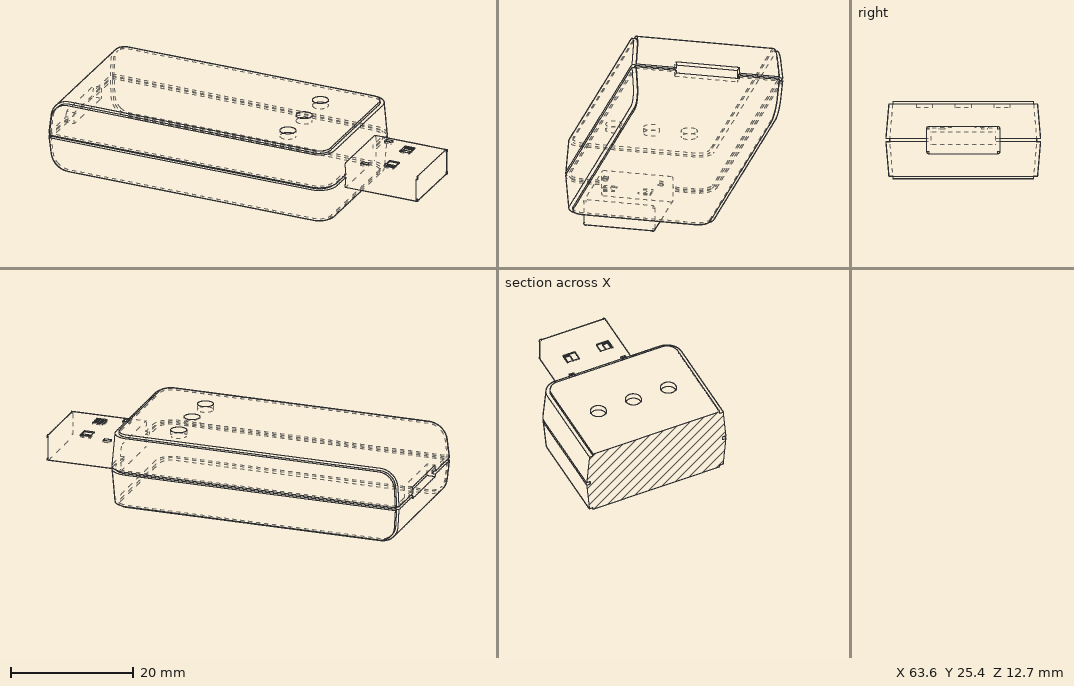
import cadquery as cq

BODY_LENGTH = 50.8
BODY_WIDTH = 25.4
BODY_HEIGHT = 12.7
DRAFT_ANGLE = 5.0
END_ROUND_RADIUS = 3.175
CORNER_RADIUS = 3.175

STEP_WIDTH = 0.65
STEP_DROP = 0.4

SEAM_GAP = 0.5

SLOT_WIDTH = 10.6
SLOT_HEIGHT = 2.0
SLOT_CENTER_Z = 0.3
SLOT_DEPTH = 1.5

INDICATOR_DIAMETER = 2.64
INDICATOR_X = 40.5
INDICATOR_PITCH = 6.35
INDICATOR_DEPTH = 1.0

PLUG_LENGTH = 12.8
PLUG_WIDTH = 12.0
PLUG_HEIGHT = 4.5
PLUG_EDGE_RADIUS = 0.4
PLUG_ROOT = 2.0

PLUG_END_RECESS = 0.15

WINDOW_X = 56.8
WINDOW_LENGTH = 1.75
WINDOW_INNER_Y = 1.95
WINDOW_STEP_Y = 2.97
WINDOW_OUTER_Y = 4.1
WINDOW_DEPTH = 0.2
WINDOW_DEEP_DEPTH = 0.4
WINDOW_LEDGE = 0.17

DIMPLE_X = 52.97
DIMPLE_LENGTH = 1.2
DIMPLE_INNER_Y = 4.28
DIMPLE_WIDTH = 0.8
DIMPLE_DEPTH = 0.3


def block(x_start, length, y_start, width, z_start, height):
    """Box given by its lowest corner and its size."""
    corner = (x_start, y_start, z_start)
    return cq.Workplane("XY").box(length, width, height, centered=False).translate(corner)


def outline(start_x, end_x, width, corner_radius):
    """Rectangle whose two corners at the plug end are round."""
    half_width = width / 2
    arc_start_x = end_x - corner_radius
    arc_start_y = half_width - corner_radius
    return (
        cq.Workplane("XY")
        .moveTo(start_x, -half_width)
        .lineTo(arc_start_x, -half_width)
        .radiusArc((end_x, -arc_start_y), -corner_radius)
        .lineTo(end_x, arc_start_y)
        .radiusArc((arc_start_x, half_width), -corner_radius)
        .lineTo(start_x, half_width)
        .close()
    )


def drafted_half(half_outline, height, end_round_radius):
    """Outline raised from the seam with draft, its far end rounded over."""
    half = half_outline.extrude(height, taper=DRAFT_ANGLE)
    return half.faces(">Z").edges("<X").fillet(end_round_radius)


def core_outline():
    """Outline of the raised core, set in from the sides and from the plug end."""
    return outline(0, BODY_LENGTH - STEP_WIDTH, BODY_WIDTH - 2 * STEP_WIDTH, CORNER_RADIUS - STEP_WIDTH)


def half_shell():
    """Upper half of the housing: a raised core between two lower side steps."""
    side_steps = drafted_half(
        outline(STEP_DROP, BODY_LENGTH, BODY_WIDTH, CORNER_RADIUS),
        BODY_HEIGHT / 2 - STEP_DROP,
        END_ROUND_RADIUS - STEP_DROP,
    )
    core = drafted_half(core_outline(), BODY_HEIGHT / 2, END_ROUND_RADIUS)
    gap = block(0, BODY_LENGTH, -BODY_WIDTH / 2, BODY_WIDTH, 0, SEAM_GAP / 2)
    return side_steps.union(core).cut(gap)


def seam_core():
    """Recessed band that joins the two halves and forms the groove floor."""
    band = core_outline().extrude(SEAM_GAP).translate((0, 0, -SEAM_GAP / 2))
    end_trim = block(0, STEP_WIDTH, -BODY_WIDTH / 2, BODY_WIDTH, -SEAM_GAP / 2, SEAM_GAP)
    return band.cut(end_trim)


def housing():
    upper = half_shell()
    return upper.union(upper.mirror("XY")).union(seam_core())


def end_slot():
    return block(0, SLOT_DEPTH, -SLOT_WIDTH / 2, SLOT_WIDTH, SLOT_CENTER_Z - SLOT_HEIGHT / 2, SLOT_HEIGHT)


def indicator_holes():
    positions = [(INDICATOR_X, row * INDICATOR_PITCH) for row in (-1, 0, 1)]
    return (
        cq.Workplane("XY", origin=(0, 0, BODY_HEIGHT / 2))
        .pushPoints(positions)
        .circle(INDICATOR_DIAMETER / 2)
        .extrude(-INDICATOR_DEPTH)
    )


def plug_pocket(x_start, length, inner_y, width, depth):
    """Rectangular pocket tool that reaches down from the plug's top face."""
    return block(x_start, length, inner_y, width, PLUG_HEIGHT / 2 - depth, depth)


def plug_end_recess():
    """Cross-shaped tool that sets the plug end back everywhere but at the corners."""
    recess_x = BODY_LENGTH + PLUG_LENGTH - PLUG_END_RECESS
    inner_width = PLUG_WIDTH - 2 * PLUG_EDGE_RADIUS
    inner_height = PLUG_HEIGHT - 2 * PLUG_EDGE_RADIUS
    across = block(recess_x, PLUG_END_RECESS, -PLUG_WIDTH / 2, PLUG_WIDTH, -inner_height / 2, inner_height)
    upright = block(recess_x, PLUG_END_RECESS, -inner_width / 2, inner_width, -PLUG_HEIGHT / 2, PLUG_HEIGHT)
    return across.union(upright)


def plug():
    root_x = BODY_LENGTH - PLUG_ROOT
    body = block(root_x, PLUG_ROOT + PLUG_LENGTH, -PLUG_WIDTH / 2, PLUG_WIDTH, -PLUG_HEIGHT / 2, PLUG_HEIGHT)
    body = body.edges("|X").fillet(PLUG_EDGE_RADIUS).cut(plug_end_recess())
    window_width = WINDOW_OUTER_Y - WINDOW_INNER_Y
    window = plug_pocket(WINDOW_X, WINDOW_LENGTH, WINDOW_INNER_Y, window_width, WINDOW_DEPTH)
    deep_width = WINDOW_OUTER_Y - WINDOW_LEDGE - WINDOW_STEP_Y
    deep = plug_pocket(WINDOW_X, WINDOW_LENGTH - WINDOW_LEDGE, WINDOW_STEP_Y, deep_width, WINDOW_DEEP_DEPTH)
    dimple = plug_pocket(DIMPLE_X, DIMPLE_LENGTH, DIMPLE_INNER_Y, DIMPLE_WIDTH, DIMPLE_DEPTH)
    for pocket in (window, deep, dimple):
        body = body.cut(pocket).cut(pocket.mirror("XZ"))
    return body


result = housing().cut(end_slot()).union(plug()).cut(indicator_holes())